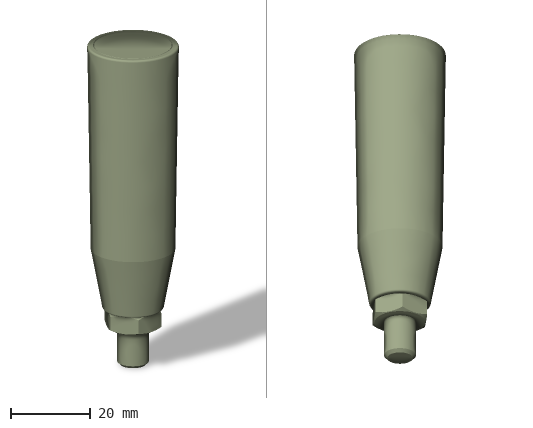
import cadquery as cq
import math

stud_diameter = 8.0
stud_length = 10.0
stud_chamfer = 0.8

hex_across_flats = 13.0
hex_height = 5.0
hex_face_diameter = 12.6
hex_bevel_angle = 30.0
hex_across_corners = hex_across_flats / math.cos(math.radians(30.0))

grip_length = 70.0
grip_top_diameter = 23.0
grip_waist_diameter = 21.3
grip_foot_diameter = 15.3
grip_taper_length = 16.0
grip_edge_radius = 0.5

groove_outer_diameter = 20.0
groove_centre_diameter = 19.7
groove_radius = (groove_outer_diameter - groove_centre_diameter) / 2

hex_bottom = stud_length
grip_bottom = hex_bottom + hex_height
grip_waist = grip_bottom + grip_taper_length
grip_top = grip_bottom + grip_length


def turned(half_profile):
    """Revolve a closed XZ half profile around the Z axis."""
    return half_profile.close().revolve(360, (0, 0, 0), (0, 1, 0))


def make_hexagon():
    """Hexagonal prism whose corners are cut back to a cone at both ends."""
    face_radius = hex_face_diameter / 2
    corner_radius = hex_across_corners / 2
    bevel_height = (corner_radius - face_radius) * math.tan(math.radians(hex_bevel_angle))
    prism = (
        cq.Workplane("XY")
        .workplane(offset=hex_bottom)
        .polygon(6, hex_across_corners)
        .extrude(hex_height)
    )
    corner_cone = turned(
        cq.Workplane("XZ")
        .moveTo(0, hex_bottom)
        .lineTo(face_radius, hex_bottom)
        .lineTo(corner_radius, hex_bottom + bevel_height)
        .lineTo(corner_radius, grip_bottom - bevel_height)
        .lineTo(face_radius, grip_bottom)
        .lineTo(0, grip_bottom)
    )
    return prism.intersect(corner_cone)


def make_spindle():
    """Hexagon and stud in one piece."""
    stud = (
        cq.Workplane("XY")
        .circle(stud_diameter / 2)
        .extrude(stud_length)
        .faces("<Z")
        .chamfer(stud_chamfer)
    )
    return make_hexagon().union(stud)


def make_grip():
    """Tapered handle with a rounded rim and foot and a ring groove in its end face."""
    body = turned(
        cq.Workplane("XZ")
        .moveTo(0, grip_bottom)
        .lineTo(grip_foot_diameter / 2, grip_bottom)
        .lineTo(grip_waist_diameter / 2, grip_waist)
        .lineTo(grip_top_diameter / 2, grip_top)
        .lineTo(0, grip_top)
    )
    body = body.faces("<Z or >Z").edges().fillet(grip_edge_radius)
    groove = cq.Workplane("XY").add(
        cq.Solid.makeTorus(groove_centre_diameter / 2, groove_radius, cq.Vector(0, 0, grip_top))
    )
    return body.cut(groove)


spindle = make_spindle()
grip = make_grip()
result = cq.Compound.makeCompound([spindle.val(), grip.val()])